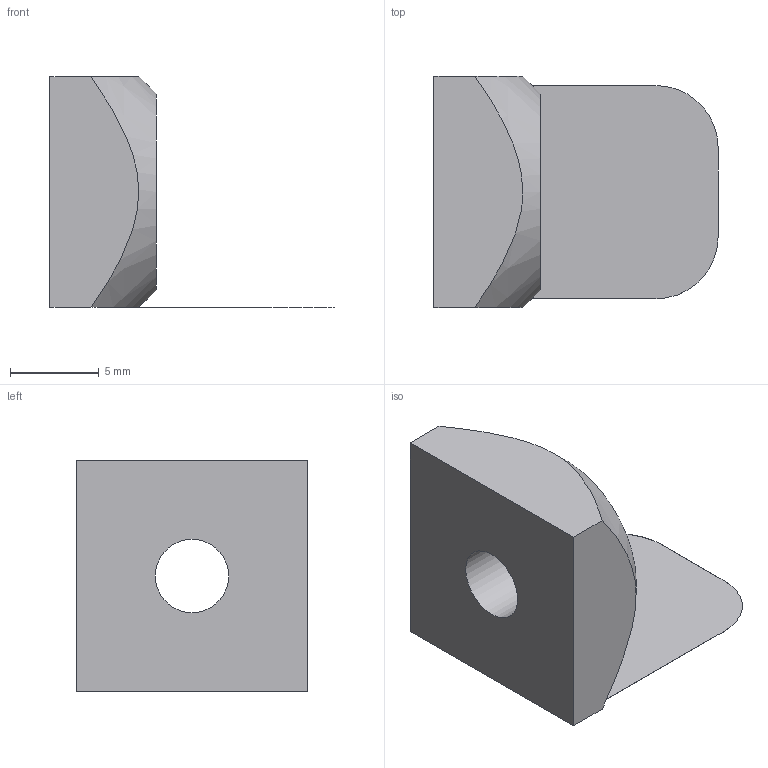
import cadquery as cq

block_side = 13.0
block_depth = 6.0
hole_diameter = 4.13

front_face_diameter = 11.0

total_length = 16.0
tongue_width = 12.0
tongue_thickness = 0.01
tongue_corner_radius = 3.5

axis_height = block_side / 2


def along_x_axis(x_start):
    """Workplane facing +X, centred on the axis of the hole."""
    return cq.Workplane("YZ", origin=(x_start, 0, axis_height))


def make_block():
    """Square block with its front corners cut back by a 45 degree cone."""
    block = along_x_axis(0).rect(block_side, block_side).extrude(block_depth)
    front_radius = front_face_diameter / 2
    base_radius = front_radius + block_depth
    cone = cq.Workplane("XY").add(
        cq.Solid.makeCone(
            base_radius,
            front_radius,
            block_depth,
            pnt=cq.Vector(0, 0, axis_height),
            dir=cq.Vector(1, 0, 0),
        )
    )
    return block.intersect(cone)


def make_tongue():
    """Thin flat tongue along the bottom, with its two free corners rounded."""
    return (
        cq.Workplane("XY")
        .rect(total_length, tongue_width)
        .extrude(tongue_thickness)
        .edges("|Z and >X")
        .fillet(tongue_corner_radius)
        .translate((total_length / 2, 0, 0))
    )


def make_hole():
    """Cylinder that bores the block from back to front."""
    return along_x_axis(0).circle(hole_diameter / 2).extrude(block_depth)


result = make_block().union(make_tongue()).cut(make_hole())